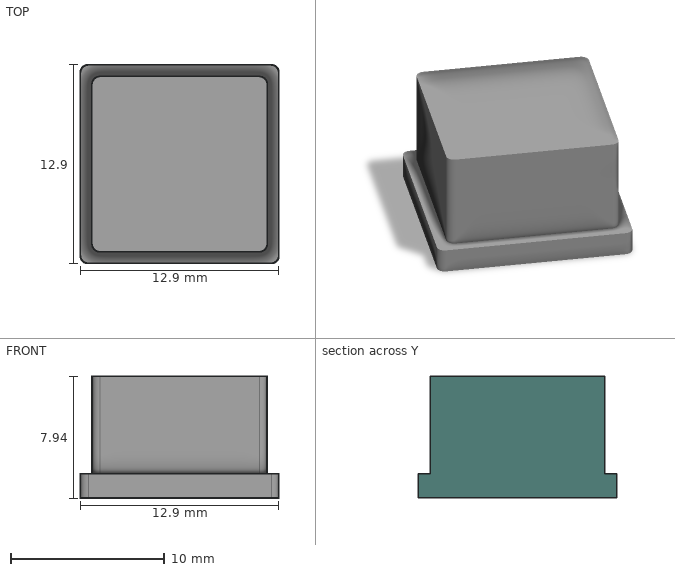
import cadquery as cq

flange_size = 12.95
flange_height = 1.59
cap_size = 11.42
total_height = 7.94
corner_radius = 0.52

cap_height = total_height - flange_height


def rounded_block(size, height, base_z):
    """Square block centred on Z with rounded upright corners."""
    block = cq.Workplane("XY").workplane(offset=base_z).rect(size, size).extrude(height)
    return block.edges("|Z").fillet(corner_radius)


flange = rounded_block(flange_size, flange_height, base_z=0)
cap = rounded_block(cap_size, cap_height, base_z=flange_height)

result = flange.union(cap)